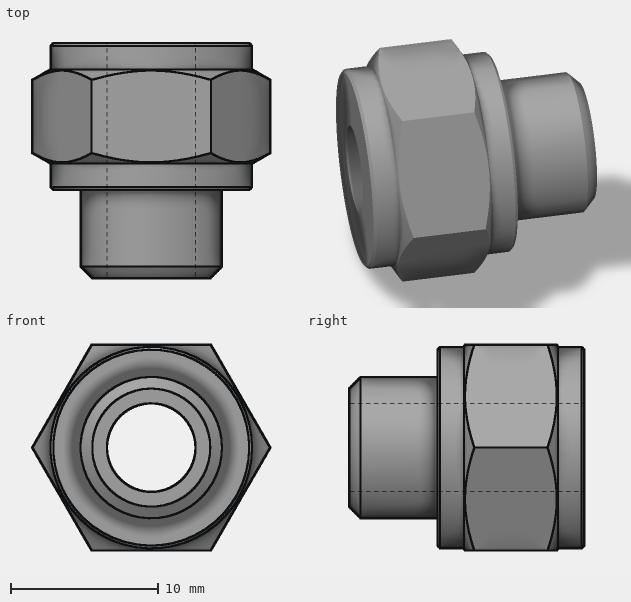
import cadquery as cq
import math

hex_corner_diameter = 16.17
collar_diameter = 13.7
spigot_diameter = 9.6
bore_diameter = 6.0
total_length = 16.0
spigot_length = 6.0
collar_length = 1.8
collar_chamfer = 0.2
spigot_chamfer = 0.8
hex_chamfer_angle = 30.0

body_start = spigot_length
hex_start = body_start + collar_length
hex_end = total_length - collar_length
hex_length = hex_end - hex_start


def cylinder(diameter, start, end):
    """Solid cylinder about the Y axis between two stations."""
    plane = cq.Workplane("XZ", origin=(0, start, 0))
    return plane.circle(diameter / 2).extrude(start - end)


def make_hexagon():
    """Hexagon with corners on X, its ends turned down by cones."""
    prism = (
        cq.Workplane("XZ", origin=(0, hex_start, 0))
        .polygon(6, hex_corner_diameter)
        .extrude(-hex_length)
    )
    corner_radius = hex_corner_diameter / 2
    end_radius = collar_diameter / 2
    cone_length = (corner_radius - end_radius) * math.tan(math.radians(hex_chamfer_angle))
    envelope = (
        cq.Workplane("XY")
        .moveTo(0, hex_start)
        .lineTo(end_radius, hex_start)
        .lineTo(corner_radius, hex_start + cone_length)
        .lineTo(corner_radius, hex_end - cone_length)
        .lineTo(end_radius, hex_end)
        .lineTo(0, hex_end)
        .close()
        .revolve(360, (0, 0, 0), (0, 1, 0))
    )
    return prism.intersect(envelope)


collars = cylinder(collar_diameter, body_start, total_length).faces("<Y or >Y").chamfer(collar_chamfer)

spigot = cylinder(spigot_diameter, 0, hex_start).faces("<Y").chamfer(spigot_chamfer)

bore = cylinder(bore_diameter, 0, total_length)

result = collars.union(make_hexagon()).union(spigot).cut(bore)